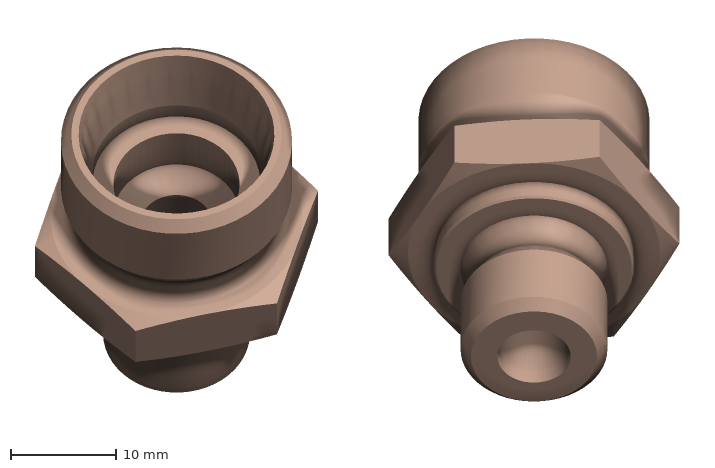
import cadquery as cq
import math

total_height = 33.0
end_chamfer = 1.0
spigot_top = 7.4
collar_bottom = 12.0
hex_bottom = 14.02
hex_top = 20.0
upper_thread_bottom = 24.62

spigot_diameter = 14.0
neck_diameter = 11.75
collar_diameter = 19.0
upper_groove_diameter = 19.7
upper_thread_diameter = 22.0

hex_across_flats = 24.02
hex_chamfer_angle = 15.0
rim_clearance = 0.33

collar_chamfer = 0.2
groove_fillet = 1.0
neck_fillet = 1.25
groove_flank_angle = 30.0

through_diameter = 7.0
counterbore_diameter = 12.0
seat_diameter = 16.0
mouth_diameter = 18.65
mouth_taper_angle = 12.0
seat_floor = 25.0
counterbore_floor = 20.0
drill_point_angle = 118.0


def revolve_profile(profile):
    """Turn a closed radius-height outline around the Z axis."""
    return profile.close().revolve(360, (0, 0, 0), (0, 1, 0))


def make_turned_body():
    spigot_radius = spigot_diameter / 2
    neck_radius = neck_diameter / 2
    collar_radius = collar_diameter / 2
    groove_radius = upper_groove_diameter / 2
    thread_radius = upper_thread_diameter / 2
    flank = math.radians(groove_flank_angle)

    neck_edge_radius = neck_radius + neck_fillet * (1 - math.cos(flank))
    neck_arc_bottom = spigot_top + (spigot_radius - neck_edge_radius) / math.tan(flank)
    neck_middle = neck_arc_bottom + neck_fillet * math.sin(flank)
    neck_arc_top = 2 * neck_middle - neck_arc_bottom

    flank_radius = groove_radius + groove_fillet * (1 - math.cos(flank))
    flank_bottom = upper_thread_bottom - (thread_radius - flank_radius) / math.tan(flank)
    groove_arc_bottom = flank_bottom - groove_fillet * math.sin(flank)
    half_flank = flank / 2
    groove_arc_middle = (
        groove_radius + groove_fillet * (1 - math.cos(half_flank)),
        groove_arc_bottom + groove_fillet * math.sin(half_flank),
    )
    foot_arc_middle = (
        groove_radius + groove_fillet * (1 - math.sqrt(0.5)),
        hex_top + groove_fillet * (1 - math.sqrt(0.5)),
    )

    profile = (
        cq.Workplane("XZ")
        .lineTo(spigot_radius - end_chamfer, 0)
        .lineTo(spigot_radius, end_chamfer)
        .lineTo(spigot_radius, spigot_top)
        .lineTo(neck_edge_radius, neck_arc_bottom)
        .threePointArc((neck_radius, neck_middle), (neck_edge_radius, neck_arc_top))
        .lineTo(spigot_radius, collar_bottom)
        .lineTo(collar_radius - collar_chamfer, collar_bottom)
        .lineTo(collar_radius, collar_bottom + collar_chamfer)
        .lineTo(collar_radius, hex_top)
        .lineTo(groove_radius + groove_fillet, hex_top)
        .threePointArc(foot_arc_middle, (groove_radius, hex_top + groove_fillet))
        .lineTo(groove_radius, groove_arc_bottom)
        .threePointArc(groove_arc_middle, (flank_radius, flank_bottom))
        .lineTo(thread_radius, upper_thread_bottom)
        .lineTo(thread_radius, total_height - end_chamfer)
        .lineTo(thread_radius - end_chamfer, total_height)
        .lineTo(0, total_height)
    )
    return revolve_profile(profile)


def make_hexagon():
    """Hexagon with corners on the Y axis, turned conically on both faces."""
    across_corners = hex_across_flats / math.cos(math.radians(30))
    prism = (
        cq.Workplane("XY", origin=(0, 0, hex_bottom))
        .polygon(6, across_corners)
        .extrude(hex_top - hex_bottom)
        .rotate((0, 0, 0), (0, 0, 1), 30)
    )
    face_radius = hex_across_flats / 2
    rim_radius = across_corners / 2 + rim_clearance
    drop = (rim_radius - face_radius) * math.tan(math.radians(hex_chamfer_angle))
    envelope = revolve_profile(
        cq.Workplane("XZ")
        .moveTo(0, hex_bottom)
        .lineTo(face_radius, hex_bottom)
        .lineTo(rim_radius, hex_bottom + drop)
        .lineTo(rim_radius, hex_top - drop)
        .lineTo(face_radius, hex_top)
        .lineTo(0, hex_top)
    )
    return prism.intersect(envelope)


def make_bore():
    through_radius = through_diameter / 2
    counterbore_radius = counterbore_diameter / 2
    seat_radius = seat_diameter / 2
    mouth_radius = mouth_diameter / 2
    taper_depth = (mouth_radius - seat_radius) / math.tan(math.radians(mouth_taper_angle))
    point_depth = (counterbore_radius - through_radius) / math.tan(math.radians(drill_point_angle / 2))
    return revolve_profile(
        cq.Workplane("XZ")
        .lineTo(through_radius, 0)
        .lineTo(through_radius, counterbore_floor - point_depth)
        .lineTo(counterbore_radius, counterbore_floor)
        .lineTo(counterbore_radius, seat_floor)
        .lineTo(seat_radius, seat_floor)
        .lineTo(seat_radius, total_height - taper_depth)
        .lineTo(mouth_radius, total_height)
        .lineTo(0, total_height)
    )


result = make_turned_body().union(make_hexagon()).cut(make_bore())